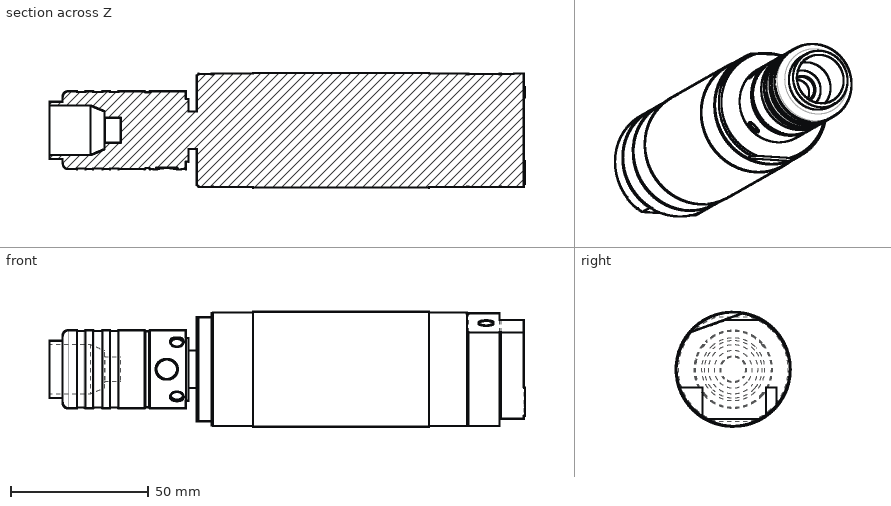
import cadquery as cq
import math


nose_dia = 21.0
nose_length = 4.75
bore_mouth_dia = 18.0
bore_throat_dia = 13.8
bore_floor_dia = 9.0
bore_floor_chamfer = 0.35
taper_start = 15.0
taper_end = 20.0
bore_depth = 26.0

sleeve_dia = 28.6
sleeve_end = 49.8
sleeve_fillet = 2.2
grip_groove_depth = 0.3
grip_groove_radius = 0.5
grip_groove_starts = (10.0, 15.8, 22.0)
grip_groove_ends = (13.1, 19.4, 25.2)
grip_groove_round_entry = (False, True, False)
ring_groove_start = 34.7
ring_groove_width = 2.0
ring_groove_depth = 0.4

shoulder_dia = 23.0
shoulder_end = 50.75
neck_dia = 13.8

window_depth = 0.6
window_floor_dia = sleeve_dia - 2 * window_depth
window_wall_taper = 25.0
large_window_dia = 8.1
large_window_x = 42.8
large_window_angle = 180
small_window_dia = 5.0
small_window_x = 46.5
small_window_angles = (45, 135, 225, 315)

body_dia = 41.5
barrel_dia = 42.0
collar_start = 53.7
collar_end = 59.2
collar_chamfer = 0.75
collar_across_flats = 38.0
barrel_start = 74.2
barrel_end = 138.5
tail_start = 152.3
tail_flats_start = 164.2
tail_end = 173.1
tail_flat_distance = 18.05
seam_width = 0.5
seam_depth = 0.2

port_flat_tilt = 20.0
port_x = 159.3
port_dia = 5.5
port_depth = 0.3

overall_length = 173.5
pad_z_range = (-17.0, -6.6)
left_pad_y_range = (11.9, 15.8)
right_pad_y_range = (-19.6, -11.2)


def cylinder(start, end, dia):
    return cq.Workplane("YZ", origin=(start, 0, 0)).circle(dia / 2).extrude(end - start)


def tube(start, end, outer_dia, inner_dia):
    return cylinder(start, end, outer_dia).cut(cylinder(start, end, inner_dia))


def revolve_about_axis(profile):
    return profile.close().revolve(360, (0, 0, 0), (1, 0, 0))


def make_outer_shape():
    sleeve = cylinder(nose_length, sleeve_end, sleeve_dia).faces("<X").edges().fillet(sleeve_fillet)
    body = cylinder(collar_start, tail_end, body_dia).faces("<X").edges().chamfer(collar_chamfer)
    return (
        sleeve
        .union(cylinder(0, sleeve_end, nose_dia))
        .union(cylinder(sleeve_end, shoulder_end, shoulder_dia))
        .union(cylinder(sleeve_end, collar_end, neck_dia))
        .union(body)
        .union(cylinder(barrel_start, barrel_end, barrel_dia))
    )


def make_bore():
    """Straight mouth, tapered throat and a straight pocket with a flat floor."""
    return revolve_about_axis(
        cq.Workplane("XY")
        .moveTo(0, 0)
        .lineTo(0, bore_mouth_dia / 2)
        .lineTo(taper_start, bore_mouth_dia / 2)
        .lineTo(taper_end, bore_throat_dia / 2)
        .lineTo(taper_end, bore_floor_dia / 2 + bore_floor_chamfer)
        .lineTo(taper_end + bore_floor_chamfer, bore_floor_dia / 2)
        .lineTo(bore_depth, bore_floor_dia / 2)
        .lineTo(bore_depth, 0)
    )


def make_grip_groove(start, end, round_entry):
    """Shallow groove whose far wall, and near wall if asked, is an arc tangent to the floor."""
    rim = sleeve_dia / 2
    floor = rim - grip_groove_depth
    sweep = math.acos(1 - grip_groove_depth / grip_groove_radius)
    run = grip_groove_radius * math.sin(sweep)
    middle_run = grip_groove_radius * math.sin(sweep / 2)
    middle_radius = floor + grip_groove_radius * (1 - math.cos(sweep / 2))
    profile = cq.Workplane("XY").moveTo(end, rim).lineTo(start, rim)
    if round_entry:
        profile = profile.threePointArc((start + run - middle_run, middle_radius), (start + run, floor))
    else:
        profile = profile.lineTo(start, floor)
    profile = profile.lineTo(end - run, floor)
    profile = profile.threePointArc((end - run + middle_run, middle_radius), (end, rim))
    return revolve_about_axis(profile)


def make_ring_groove():
    """Groove with 45 degree walls."""
    rim = sleeve_dia / 2
    floor = rim - ring_groove_depth
    end = ring_groove_start + ring_groove_width
    return revolve_about_axis(
        cq.Workplane("XY")
        .moveTo(ring_groove_start, rim)
        .lineTo(ring_groove_start + ring_groove_depth, floor)
        .lineTo(end - ring_groove_depth, floor)
        .lineTo(end, rim)
    )


def make_window(x, dia, angle):
    """Tapered round recess in the sleeve wall; angle is measured from +Y towards +Z."""
    drill = (
        cq.Workplane("XZ", origin=(x, sleeve_dia / 2, 0))
        .circle(dia / 2)
        .extrude(2 * window_depth, taper=window_wall_taper)
        .rotate((0, 0, 0), (1, 0, 0), angle)
    )
    return drill.intersect(tube(x - dia, x + dia, sleeve_dia, window_floor_dia))


def make_flat_cut(start, end, distance, angle):
    """Block beyond a flat whose normal is turned by angle from +Z about X."""
    size = barrel_dia
    block = cq.Workplane("XY").box(end - start, size, size, centered=(False, True, False))
    return block.translate((start, 0, distance)).rotate((0, 0, 0), (1, 0, 0), angle)


def make_seam(start):
    """Narrow shallow ring groove around the body."""
    return tube(start, start + seam_width, barrel_dia, body_dia - 2 * seam_depth)


def make_port():
    port = cq.Workplane("XY", origin=(port_x, 0, tail_flat_distance)).circle(port_dia / 2).extrude(-port_depth)
    return port.rotate((0, 0, 0), (1, 0, 0), port_flat_tilt)


def make_pad(y_range, z_range):
    """Raised pad on the end face, trimmed to the round outline of the body."""
    y_min, y_max = y_range
    z_min, z_max = z_range
    length = overall_length - tail_end
    pad = cq.Workplane("XY").box(length, y_max - y_min, z_max - z_min, centered=False)
    return pad.translate((tail_end, y_min, z_min)).intersect(cylinder(tail_end, overall_length, body_dia))


result = make_outer_shape().cut(make_bore()).cut(make_ring_groove())

for start, end, round_entry in zip(grip_groove_starts, grip_groove_ends, grip_groove_round_entry):
    result = result.cut(make_grip_groove(start, end, round_entry))

result = result.cut(make_window(large_window_x, large_window_dia, large_window_angle))
for angle in small_window_angles:
    result = result.cut(make_window(small_window_x, small_window_dia, angle))

for seam_start in (collar_end, tail_start, tail_flats_start):
    result = result.cut(make_seam(seam_start))

for angle in (0, 180):
    result = result.cut(make_flat_cut(collar_start, collar_end, collar_across_flats / 2, angle))
    result = result.cut(make_flat_cut(tail_flats_start, tail_end, tail_flat_distance, angle))

result = result.cut(make_flat_cut(tail_start, tail_end, tail_flat_distance, port_flat_tilt)).cut(make_port())

for y_range in (left_pad_y_range, right_pad_y_range):
    result = result.union(make_pad(y_range, pad_z_range))